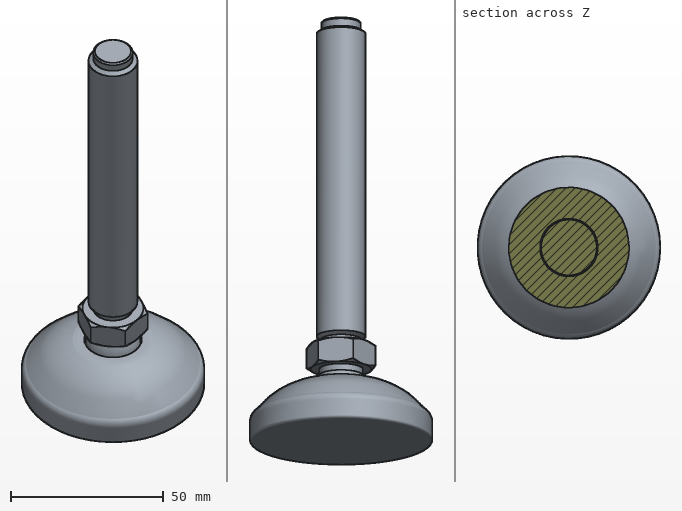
import cadquery as cq
import math

total_height = 142.2

foot_diameter = 59.9
base_round = 0.9
rim_height = 6.5
shoulder_radius = 3.0
shoulder_top_diameter = 56.9
dome_height = 19.5
dome_bulge = 1.5
collar_diameter = 26.5
collar_flat_diameter = 23.9
collar_drop = 0.1

socket_diameter = 18.8
ball_diameter = 18.3
stem_diameter = 14.4
stem_bottom = 22.3

nut_bottom = 24.5
nut_top = 32.7
nut_across_flats = 19.9
nut_chamfer_angle = 30.0

rod_diameter = 16.0
neck_diameter = 13.0
taper_height = 1.0
rod_bottom = 35.5
rod_top = 138.2
tip_chamfer = 0.5

ball_center = stem_bottom - math.sqrt(ball_diameter**2 - stem_diameter**2) / 2


def make_foot():
    """Domed foot revolved about Z, with a rounded shoulder and an open ball socket."""
    foot_radius = foot_diameter / 2
    collar_radius = collar_diameter / 2
    collar_edge = dome_height - collar_drop
    shoulder_r = shoulder_top_diameter / 2
    turn = math.acos(1 - (foot_radius - shoulder_r) / shoulder_radius)
    shoulder_z = rim_height + shoulder_radius * math.sin(turn)
    run = shoulder_r - collar_radius
    rise = collar_edge - shoulder_z
    chord = math.hypot(run, rise)
    dome_mid = (
        (shoulder_r + collar_radius) / 2 + dome_bulge * rise / chord,
        (shoulder_z + collar_edge) / 2 + dome_bulge * run / chord,
    )
    profile = (
        cq.Workplane("XZ")
        .lineTo(foot_radius - base_round, 0)
        .radiusArc((foot_radius, base_round), -base_round)
        .lineTo(foot_radius, rim_height)
        .tangentArcPoint((shoulder_r, shoulder_z), relative=False)
        .threePointArc(dome_mid, (collar_radius, collar_edge))
        .lineTo(collar_flat_diameter / 2, dome_height)
        .lineTo(socket_diameter / 2, dome_height)
        .lineTo(socket_diameter / 2, ball_center)
        .lineTo(0, ball_center)
        .close()
    )
    return profile.revolve(360, (0, 0, 0), (0, 1, 0))


def make_spindle():
    """Stem, neck, rod and tip as one revolved profile starting at the ball center."""
    stem_radius = stem_diameter / 2
    neck_radius = neck_diameter / 2
    rod_radius = rod_diameter / 2
    points = [
        (0, ball_center),
        (stem_radius, ball_center),
        (stem_radius, nut_bottom),
        (neck_radius, nut_bottom),
        (neck_radius, rod_bottom - taper_height),
        (rod_radius, rod_bottom),
        (rod_radius, rod_top),
        (neck_radius, rod_top + taper_height),
        (neck_radius, total_height - tip_chamfer),
        (neck_radius - tip_chamfer, total_height),
        (0, total_height),
    ]
    return cq.Workplane("XZ").polyline(points).close().revolve(360, (0, 0, 0), (0, 1, 0))


def make_ball():
    """Ball that rests in the socket and joins the stem to the foot."""
    return cq.Workplane("XY", origin=(0, 0, ball_center)).sphere(ball_diameter / 2)


def make_nut():
    """Hexagon nut with corners on the X axis and both ends chamfered by a cone."""
    corner_radius = nut_across_flats / math.sqrt(3)
    flat_radius = nut_across_flats / 2
    chamfer_height = (corner_radius - flat_radius) * math.tan(math.radians(nut_chamfer_angle))
    hexagon = (
        cq.Workplane("XY", origin=(0, 0, nut_bottom))
        .polygon(6, 2 * corner_radius)
        .extrude(nut_top - nut_bottom)
    )
    envelope = (
        cq.Workplane("XZ")
        .polyline([
            (0, nut_bottom),
            (flat_radius, nut_bottom),
            (corner_radius, nut_bottom + chamfer_height),
            (corner_radius, nut_top - chamfer_height),
            (flat_radius, nut_top),
            (0, nut_top),
        ])
        .close()
        .revolve(360, (0, 0, 0), (0, 1, 0))
    )
    return hexagon.intersect(envelope)


spindle = make_spindle().union(make_ball()).union(make_nut())
result = make_foot().union(spindle)